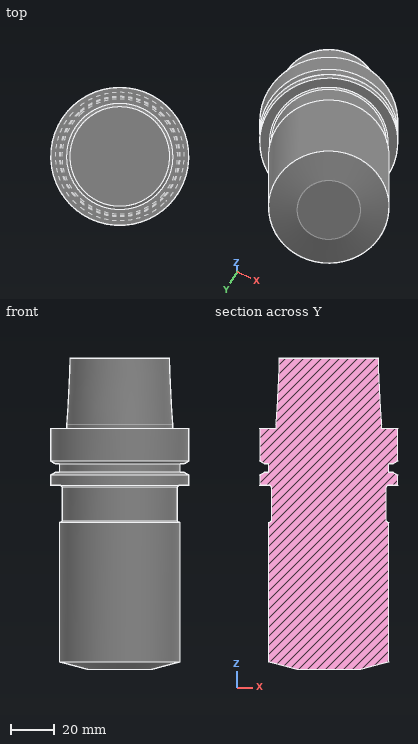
import cadquery as cq
import math


shank_base_diameter = 48.43
shank_length = 32.0
shank_collar_height = 1.8
shank_taper_ratio = 1 / 10

flange_diameter = 63.0
flange_length = 26.0
groove_diameter = 55.0
groove_center_depth = 18.125
groove_floor_width = 3.75
groove_flank_height = 1.25
groove_flank_angle = 30.0

neck_diameter = 52.6
neck_chamfer = 0.75
body_diameter = 55.0
body_start_depth = 43.0
body_shoulder_angle = 30.0

overall_length = 142.0
nose_height = 3.5
nose_angle = 15.0


def tan_degrees(angle):
    return math.tan(math.radians(angle))


shank_base_radius = shank_base_diameter / 2
shank_top_radius = shank_base_radius - (shank_length - shank_collar_height) * shank_taper_ratio / 2

flange_radius = flange_diameter / 2
groove_radius = groove_diameter / 2
groove_top_z = -groove_center_depth + groove_floor_width / 2
groove_bottom_z = -groove_center_depth - groove_floor_width / 2
flank_inner_radius = flange_radius - groove_flank_height / tan_degrees(groove_flank_angle)

neck_radius = neck_diameter / 2
body_radius = body_diameter / 2
shoulder_height = (body_radius - neck_radius) * tan_degrees(body_shoulder_angle)

end_z = shank_length - overall_length
nose_end_radius = body_radius - nose_height / tan_degrees(nose_angle)

shank_profile = [
    (0, shank_length),
    (shank_top_radius, shank_length),
    (shank_base_radius, shank_collar_height),
    (shank_base_radius, 0),
]

flange_profile = [
    (flange_radius, 0),
    (flange_radius, groove_top_z + groove_flank_height),
    (flank_inner_radius, groove_top_z),
    (groove_radius, groove_top_z),
    (groove_radius, groove_bottom_z),
    (flank_inner_radius, groove_bottom_z),
    (flange_radius, groove_bottom_z - groove_flank_height),
    (flange_radius, -flange_length),
]

body_profile = [
    (neck_radius + neck_chamfer, -flange_length),
    (neck_radius, -flange_length - neck_chamfer),
    (neck_radius, -body_start_depth + shoulder_height),
    (body_radius, -body_start_depth),
    (body_radius, end_z + nose_height),
    (nose_end_radius, end_z),
    (0, end_z),
]

half_section = cq.Workplane("YZ").polyline(shank_profile + flange_profile + body_profile).close()
result = half_section.revolve(360, (0, 0, 0), (0, 1, 0))